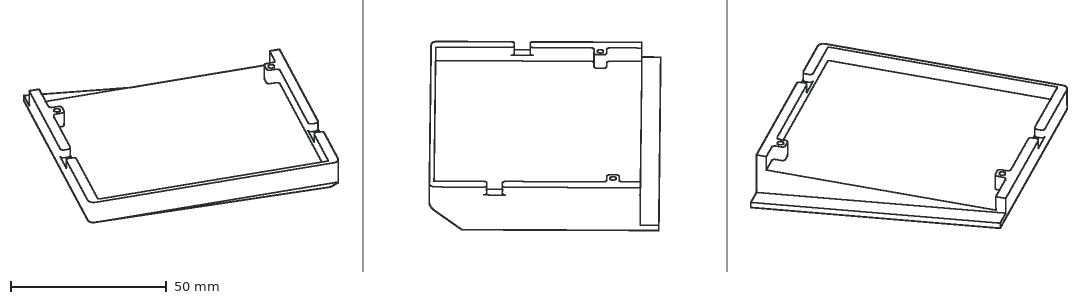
import cadquery as cq
import math

LENGTH = 73.7
WIDTH = 83.8
HEIGHT = 16.5
FRONT_HEIGHT = 7.7
HALF_WIDTH = WIDTH / 2

BEVEL_RUN = 10.5
BEVEL_RISE = HEIGHT - FRONT_HEIGHT
CORNER_RADIUS = 2.0

FLANGE_LENGTH = 6.0
FLANGE_THICKNESS = 2.0

POCKET_DEPTH = 5.2
SIDE_WALL = 3.35
END_WALL = 1.5
SMALL_RADIUS = 1.0
POCKET_CORNER_RADIUS = 0.5

BOSS_WIDTH = 4.0
BOSS_REACH = 4.0
BOSS_X_FRONT = 19.35
BOSS_X_BACK = 14.75
HOLE_DIAMETER = 2.0
HOLE_DEPTH = 5.0
DRILL_POINT_ANGLE = 118.0

NOTCH_WIDTH = 5.0
NOTCH_DEPTH = 3.0
NOTCH_X_FRONT = 44.4
NOTCH_X_BACK = 52.7

SIDES = ((-1, BOSS_X_FRONT, NOTCH_X_FRONT), (1, BOSS_X_BACK, NOTCH_X_BACK))


def wedge_body():
    """Wedge with a sloping underside, rounded +X corners and a beveled lower edge."""
    profile = [
        (-HALF_WIDTH, HEIGHT),
        (-HALF_WIDTH, BEVEL_RISE),
        (HALF_WIDTH, 0),
        (HALF_WIDTH, HEIGHT),
    ]
    body = cq.Workplane("YZ").polyline(profile).close().extrude(LENGTH)
    body = body.edges("|Z and >X").fillet(CORNER_RADIUS)
    bevel = (
        cq.Workplane("XZ", origin=(0, HALF_WIDTH, 0))
        .polyline([(LENGTH, BEVEL_RISE), (LENGTH - BEVEL_RUN, 0), (LENGTH, 0)])
        .close()
        .extrude(WIDTH)
    )
    return body.cut(bevel)


def flange_clearance():
    """Material above the sloping flange."""
    profile = [
        (-HALF_WIDTH, HEIGHT),
        (-HALF_WIDTH, BEVEL_RISE + FLANGE_THICKNESS),
        (HALF_WIDTH, FLANGE_THICKNESS),
        (HALF_WIDTH, HEIGHT),
    ]
    return cq.Workplane("YZ").polyline(profile).close().extrude(FLANGE_LENGTH)


def boss_outline(side, x):
    """Boss prism joining its wall, with rounded tip and root corners."""
    wall_y = HALF_WIDTH - SIDE_WALL
    return flared_prism(x, BOSS_WIDTH, wall_y - BOSS_REACH, wall_y, POCKET_DEPTH, side)


def flared_prism(x, width, near_y, far_y, depth, side):
    """Prism below the rim: rounded corners at near_y, outward fillets at far_y."""
    half = width / 2
    radius = SMALL_RADIUS
    diagonal = radius * (1 - math.sqrt(0.5))

    def point(u, y):
        return (x + u, side * y)

    return (
        cq.Workplane("XY", origin=(0, 0, HEIGHT - depth))
        .moveTo(*point(-half - radius, far_y))
        .threePointArc(point(-half - diagonal, far_y - diagonal), point(-half, far_y - radius))
        .lineTo(*point(-half, near_y + radius))
        .threePointArc(point(-half + diagonal, near_y + diagonal), point(-half + radius, near_y))
        .lineTo(*point(half - radius, near_y))
        .threePointArc(point(half - diagonal, near_y + diagonal), point(half, near_y + radius))
        .lineTo(*point(half, far_y - radius))
        .threePointArc(point(half + diagonal, far_y - diagonal), point(half + radius, far_y))
        .close()
        .extrude(depth)
    )


def pocket():
    """Tray recess around the two bosses."""
    inner_length = LENGTH - FLANGE_LENGTH - END_WALL
    recess = (
        cq.Workplane("XY", origin=(FLANGE_LENGTH, 0, HEIGHT - POCKET_DEPTH))
        .rect(inner_length, WIDTH - 2 * SIDE_WALL)
        .extrude(POCKET_DEPTH)
        .translate((inner_length / 2, 0, 0))
        .edges("|Z and >X")
        .fillet(POCKET_CORNER_RADIUS)
    )
    for side, boss_x, _ in SIDES:
        recess = recess.cut(boss_outline(side, boss_x))
    return recess


def screw_hole(side, x):
    """Blind hole with a drill-point bottom, centered on the boss tip."""
    radius = HOLE_DIAMETER / 2
    tip = radius / math.tan(math.radians(DRILL_POINT_ANGLE / 2))
    y = side * (HALF_WIDTH - SIDE_WALL - BOSS_REACH + BOSS_WIDTH / 2)
    return (
        cq.Workplane("XZ", origin=(x, y, HEIGHT))
        .polyline([(0, 0), (radius, 0), (radius, -HOLE_DEPTH), (0, -HOLE_DEPTH - tip)])
        .close()
        .revolve(360, (0, 0), (0, 1))
    )


def notch(side, x):
    """Wall notch whose vertical corners are rounded on both wall faces."""
    inner_y = HALF_WIDTH - SIDE_WALL
    middle_y = HALF_WIDTH - SIDE_WALL / 2
    outer_half = flared_prism(x, NOTCH_WIDTH, inner_y, HALF_WIDTH, NOTCH_DEPTH, side)
    inner_half = outer_half.mirror("XZ", (0, side * middle_y, 0))
    return outer_half.union(inner_half)


result = wedge_body().cut(flange_clearance()).cut(pocket())
for side, boss_x, notch_x in SIDES:
    result = result.cut(screw_hole(side, boss_x)).cut(notch(side, notch_x))